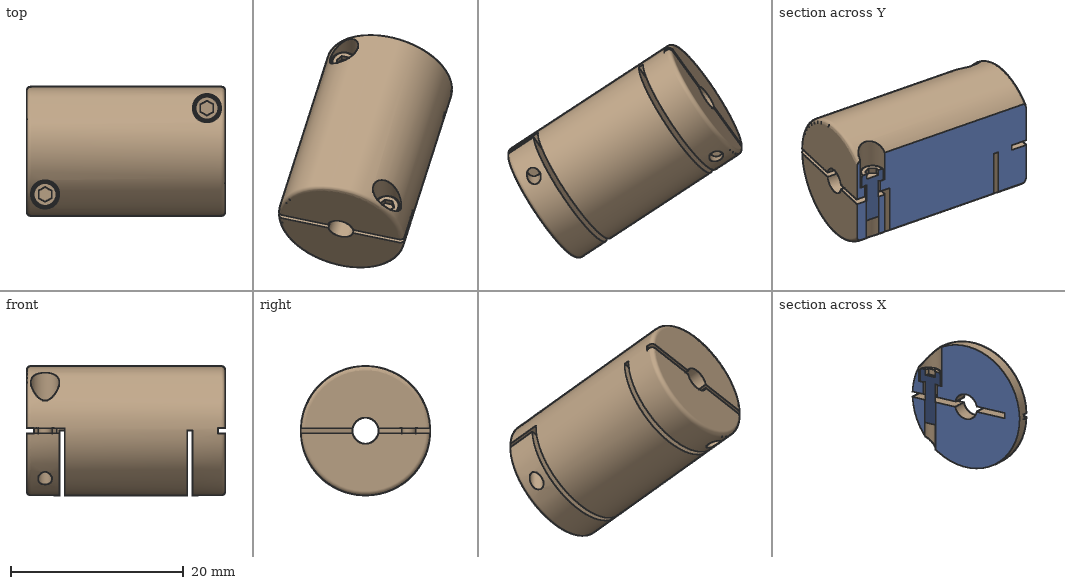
import cadquery as cq

LENGTH = 23.0
DIAMETER = 15.0
RADIUS = DIAMETER / 2
SHAFT_BORE = 3.0
EDGE_FILLET = 0.5
MIDDLE_X = LENGTH / 2

SLIT_HEIGHT = 0.6
SLIT_RIM_DEPTH = 0.85
SLIT_BORE_DEPTH = 3.47
CROSS_CUT_DEPTH = 4.42
CROSS_CUT_WIDTH = 0.6

SCREW_DEPTH = 2.15
SCREW_OFFSET = 5.0
HEAD_DIAMETER = 3.0
HEAD_HEIGHT = 1.6
HEAD_TOP_Z = 3.45
HEAD_CHAMFER = 0.18
HEX_ACROSS_FLATS = 1.5
HEX_DEPTH = 0.7
SHANK_DIAMETER = 1.6
SHANK_LENGTH = 5.0
SEAT_Z = HEAD_TOP_Z - HEAD_HEIGHT

COUNTERBORE_DIAMETER = 3.3
CLEARANCE_DIAMETER = 2.0

HUB_TURNS = (0, 180)


def turn_to_hub(shape, angle):
    """Turn a shape made for the hub at X = 0 about the vertical middle line."""
    return shape.rotate((MIDDLE_X, 0, 0), (MIDDLE_X, 0, 1), angle)


def screw_cylinder(diameter, bottom_z, top_z):
    """Vertical cylinder on the screw axis of the hub at X = 0."""
    return (
        cq.Workplane("XY", origin=(SCREW_DEPTH, -SCREW_OFFSET, bottom_z))
        .circle(diameter / 2)
        .extrude(top_z - bottom_z)
    )


def make_clamp_slit():
    """Horizontal slit, open on the screw side, with a sloped floor on the hinge side."""
    return (
        cq.Workplane("XY", origin=(0, 0, -SLIT_HEIGHT / 2))
        .moveTo(0, RADIUS)
        .lineTo(SLIT_RIM_DEPTH, RADIUS)
        .lineTo(SLIT_BORE_DEPTH, SHAFT_BORE / 2)
        .lineTo(SLIT_BORE_DEPTH, 0)
        .lineTo(CROSS_CUT_DEPTH, 0)
        .lineTo(CROSS_CUT_DEPTH, -RADIUS)
        .lineTo(0, -RADIUS)
        .close()
        .extrude(SLIT_HEIGHT)
    )


def make_cross_cut():
    """Cut across the lower half of the hub that frees the clamp jaw."""
    return cq.Workplane("XY").box(
        CROSS_CUT_WIDTH, DIAMETER, RADIUS, centered=(False, True, False)
    ).translate((CROSS_CUT_DEPTH - CROSS_CUT_WIDTH, 0, -RADIUS))


def make_screw_hole():
    """Counterbore and clearance hole above the slit, threaded hole below it."""
    counterbore = screw_cylinder(COUNTERBORE_DIAMETER, SEAT_Z, RADIUS)
    clearance = screw_cylinder(CLEARANCE_DIAMETER, 0, SEAT_Z)
    thread = screw_cylinder(SHANK_DIAMETER, -RADIUS, 0)
    return counterbore.union(clearance).union(thread)


def make_coupling_body():
    """Bored cylinder with rounded ends and the clamp cuts of both hubs."""
    body = (
        cq.Workplane("YZ")
        .circle(RADIUS)
        .extrude(LENGTH)
        .faces("<X or >X")
        .edges()
        .fillet(EDGE_FILLET)
    )
    bore = cq.Workplane("YZ").circle(SHAFT_BORE / 2).extrude(LENGTH)
    body = body.cut(bore)
    for angle in HUB_TURNS:
        for cutter in (make_clamp_slit(), make_cross_cut(), make_screw_hole()):
            body = body.cut(turn_to_hub(cutter, angle))
    return body


def make_clamp_screw(angle):
    """Socket head cap screw of one hub."""
    head = screw_cylinder(HEAD_DIAMETER, SEAT_Z, HEAD_TOP_Z).faces(">Z").chamfer(HEAD_CHAMFER)
    shank = screw_cylinder(SHANK_DIAMETER, SEAT_Z - SHANK_LENGTH, SEAT_Z)
    socket = (
        cq.Workplane("XY", origin=(SCREW_DEPTH, -SCREW_OFFSET, HEAD_TOP_Z))
        .polygon(6, HEX_ACROSS_FLATS, circumscribed=True)
        .extrude(-HEX_DEPTH)
    )
    return turn_to_hub(head.union(shank).cut(socket), angle)


coupling_body = make_coupling_body()
clamp_screws = [make_clamp_screw(angle) for angle in HUB_TURNS]

result = cq.Compound.makeCompound(
    [coupling_body.val(), *[screw.val() for screw in clamp_screws]]
)